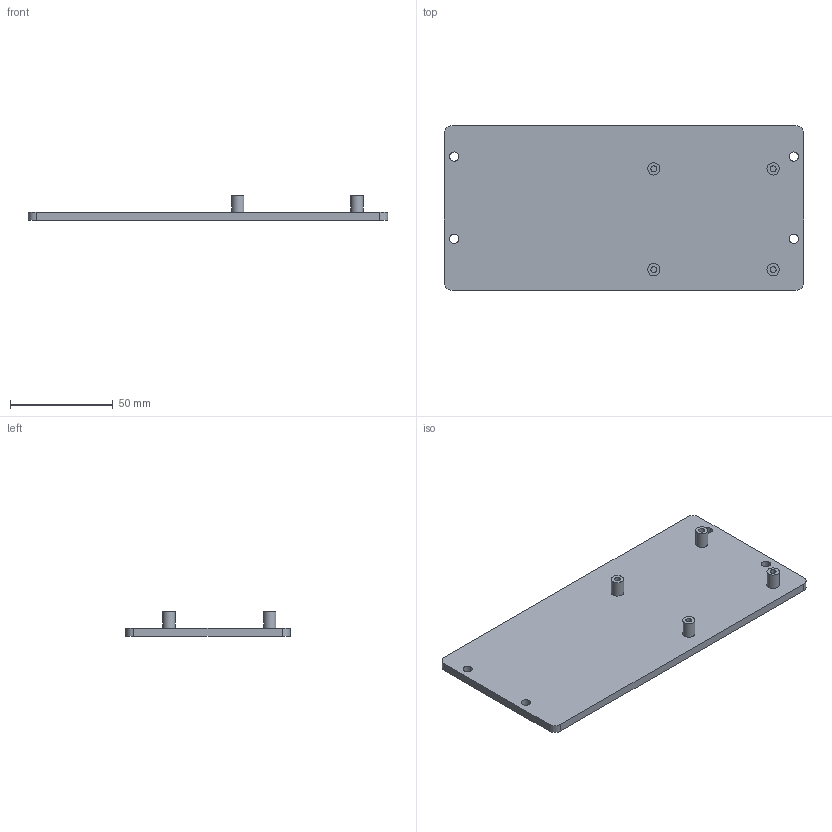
import cadquery as cq

plate_length = 175.0
plate_width = 80.0
plate_thickness = 4.0
corner_radius = 4.0

mount_hole_diameter = 4.5
mount_hole_edge_distance = 5.0
mount_hole_spacing_y = 40.0
mount_hole_center_y = 5.0

standoff_diameter = 6.0
standoff_height = 8.0
standoff_bore_diameter = 2.9
standoff_spacing_x = 58.0
standoff_spacing_y = 49.0
standoff_edge_distance_x = 15.0
standoff_edge_distance_y = 10.0

mount_hole_spacing_x = plate_length - 2 * mount_hole_edge_distance
standoff_center_x = plate_length / 2 - standoff_edge_distance_x - standoff_spacing_x / 2
standoff_center_y = -plate_width / 2 + standoff_edge_distance_y + standoff_spacing_y / 2


def make_plate():
    """Flat plate with rounded vertical corners."""
    plate = cq.Workplane("XY").box(
        plate_length, plate_width, plate_thickness, centered=(True, True, False)
    )
    return plate.edges("|Z").fillet(corner_radius)


def make_mount_holes():
    """Cutters for the four through holes."""
    return (
        cq.Workplane("XY")
        .center(0, mount_hole_center_y)
        .rarray(mount_hole_spacing_x, mount_hole_spacing_y, 2, 2)
        .circle(mount_hole_diameter / 2)
        .extrude(plate_thickness)
    )


def make_standoffs():
    """Four tubular standoffs, bored down to the top face of the plate."""
    return (
        cq.Workplane("XY", origin=(0, 0, plate_thickness))
        .center(standoff_center_x, standoff_center_y)
        .rarray(standoff_spacing_x, standoff_spacing_y, 2, 2)
        .circle(standoff_diameter / 2)
        .circle(standoff_bore_diameter / 2)
        .extrude(standoff_height)
    )


result = make_plate().cut(make_mount_holes()).union(make_standoffs())